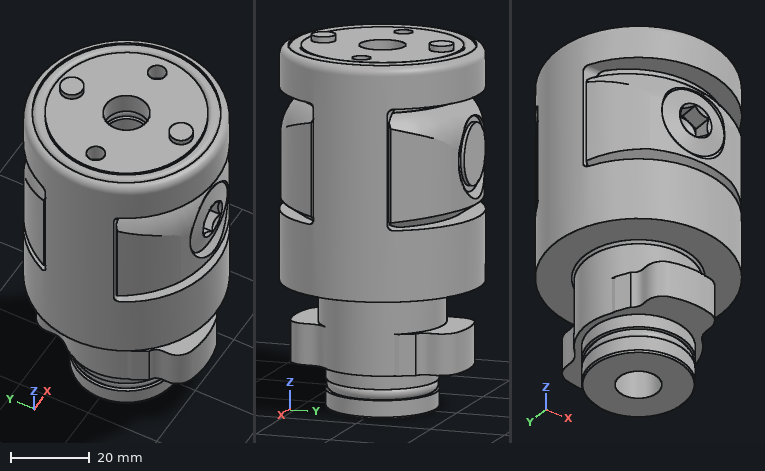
import cadquery as cq
import math

body_radius = 26.3
body_bottom = 33.2
face_height = 94.4
rim_radius = 2.3

top_seal_outer = body_radius - rim_radius
top_seal_inner = 20.7
top_seal_crest = 94.8
top_seal_floor = 93.2

neck_radius = 16.4
neck_bottom = 11.7
neck_collar = 0.6
neck_collar_height = 0.9
spigot_radius = 14.5
spigot_chamfer = 0.3
spigot_chamfer_height = 0.6
spigot_seal_bottom = 4.9
spigot_seal_top = 7.8
spigot_seal_depth = 1.0
spigot_seal_gap = 0.2

bore_radius = 5.95
bore_seal_top = 88.5
bore_seal_height = 2.9
bore_seal_depth = 1.15
bore_seal_gap = 0.1

pitch_radius = 15.9
pin_radius = 3.1
pin_top = 96.0
blind_radius = 2.4
blind_depth = 4.8
drill_point_angle = 118
drill_half_angle = math.radians(drill_point_angle / 2)

window_y = 10.0
window_bottom = 51.8
window_top = 83.5
window_corner = 1.5

jaw_axis_offset = 4.5
jaw_crest_y = 25.7
jaw_trim_radius = 26.2
jaw_corner = 2.1
jaw_relief_y = 10.75
jaw_bottom_edge = 55.1
jaw_bottom_y = 20.7
jaw_shoulder = 71.8
jaw_neck_bottom = 81.8
jaw_neck_y = 20.3
jaw_lip_y = 20.7

screw_z = 67.85
seat_y = 24.0
seat_radius = 9.7
seat_taper = 45
head_radius = 9.4
socket_mouth_radius = 5.0
screw_face_y = 25.1
hex_flats = 8.35
hex_depth = 5.8
screw_end_radius = 8.2
screw_end_y = 25.0

lug_top = 22.6
lug_radius = 23.5
lug_half_width = 10.1
lug_nose_y = 17.8
lug_flank_y = 15.6
lug_heel_flank_y = 16.0
lug_heel = [(-11.8, -13.2), (-13.9, -9.4), (-14.2, -8.1)]


def make_column():
    """Body, neck and spigot with both outer seal rings, as one turned solid."""
    top_seal_middle = (top_seal_outer + top_seal_inner) / 2
    spigot_seal_middle = (spigot_seal_bottom + spigot_seal_top) / 2
    spigot_seal_floor = spigot_radius - spigot_seal_depth
    rim_mid = rim_radius * math.cos(math.radians(45))
    profile = (
        cq.Workplane("XZ")
        .moveTo(bore_radius, 0)
        .lineTo(spigot_radius - spigot_chamfer, 0)
        .lineTo(spigot_radius, spigot_chamfer_height)
        .lineTo(spigot_radius, spigot_seal_bottom)
        .lineTo(spigot_seal_floor, spigot_seal_bottom)
        .threePointArc(
            (spigot_radius - spigot_seal_gap, spigot_seal_middle),
            (spigot_seal_floor, spigot_seal_top),
        )
        .lineTo(spigot_radius, spigot_seal_top)
        .lineTo(spigot_radius, neck_bottom)
        .lineTo(neck_radius, neck_bottom)
        .lineTo(neck_radius, body_bottom - neck_collar_height)
        .lineTo(neck_radius + neck_collar, body_bottom)
        .lineTo(body_radius, body_bottom)
        .lineTo(body_radius, face_height - rim_radius)
        .threePointArc(
            (top_seal_outer + rim_mid, face_height - rim_radius + rim_mid),
            (top_seal_outer, face_height),
        )
        .lineTo(top_seal_outer, top_seal_floor)
        .threePointArc((top_seal_middle, top_seal_crest), (top_seal_inner, top_seal_floor))
        .lineTo(top_seal_inner, face_height)
        .lineTo(bore_radius, face_height)
        .lineTo(bore_radius, bore_seal_top)
        .lineTo(bore_radius + bore_seal_depth, bore_seal_top)
        .threePointArc(
            (bore_radius + bore_seal_gap, bore_seal_top - bore_seal_height / 2),
            (bore_radius + bore_seal_depth, bore_seal_top - bore_seal_height),
        )
        .lineTo(bore_radius, bore_seal_top - bore_seal_height)
        .close()
    )
    return profile.revolve(360, (0, 0, 0), (0, 1, 0))


def make_window(corner_radius):
    """Block through the -Y side of the body with rounded corners along X."""
    depth = body_radius
    return (
        cq.Workplane("XY")
        .box(2 * body_radius, depth, window_top - window_bottom, centered=(True, False, False))
        .translate((0, -window_y - depth, window_bottom))
        .edges("|X and >Y")
        .fillet(corner_radius)
    )


def make_jaw():
    """Jaw of the -Y window: an offset turned shape trimmed to the body outline."""
    crest_radius = jaw_crest_y + jaw_axis_offset
    neck_turn_radius = jaw_neck_y + jaw_axis_offset
    lip_radius = jaw_lip_y + jaw_axis_offset
    shoulder_rise = jaw_neck_bottom - jaw_shoulder
    shoulder_run = crest_radius - lip_radius
    shoulder_radius = (shoulder_rise**2 + shoulder_run**2) / (2 * shoulder_run)
    half_angle = math.asin(shoulder_rise / shoulder_radius) / 2
    shoulder_mid = (
        crest_radius - shoulder_radius * (1 - math.cos(half_angle)),
        jaw_shoulder + shoulder_radius * math.sin(half_angle),
    )
    turned = (
        cq.Workplane("XZ")
        .moveTo(0, window_bottom)
        .lineTo(jaw_bottom_y + jaw_axis_offset, window_bottom)
        .lineTo(crest_radius, jaw_bottom_edge)
        .lineTo(crest_radius, jaw_shoulder)
        .threePointArc(shoulder_mid, (lip_radius, jaw_neck_bottom))
        .lineTo(neck_turn_radius, jaw_neck_bottom)
        .lineTo(neck_turn_radius, window_top)
        .lineTo(0, window_top)
        .close()
        .revolve(360, (0, 0, 0), (0, 1, 0))
        .translate((0, jaw_axis_offset, 0))
    )
    edge_x = math.sqrt(jaw_trim_radius**2 - jaw_relief_y**2)
    root_x = edge_x - (jaw_relief_y - window_y)
    trim = (
        cq.Workplane("XY")
        .workplane(offset=window_bottom)
        .moveTo(-root_x, -window_y)
        .lineTo(-edge_x, -jaw_relief_y)
        .threePointArc((0, -jaw_trim_radius), (edge_x, -jaw_relief_y))
        .lineTo(root_x, -window_y)
        .close()
        .extrude(window_top - window_bottom)
    )
    return turned.intersect(trim).intersect(make_window(jaw_corner)).cut(make_seat())


def front_plane(y):
    """Workplane facing -Y on the screw axis at the distance y from the centre."""
    return cq.Workplane("XZ", origin=(0, -y, screw_z))


def make_seat():
    """Countersink around the screw axis."""
    depth = body_radius - seat_y
    return front_plane(seat_y).circle(seat_radius).extrude(depth, taper=-seat_taper)


def make_screw_head():
    """Conical screw head, still without its socket, standing on the countersink floor."""
    head_height = screw_face_y - seat_y
    return (
        front_plane(seat_y)
        .circle(head_radius)
        .workplane(offset=head_height)
        .circle(socket_mouth_radius)
        .loft()
    )


def make_socket():
    """Hexagon socket, its mouth chamfer and the drill point at its bottom."""
    corner_circle = hex_flats / math.cos(math.radians(30))
    mouth_depth = socket_mouth_radius - hex_flats / 2
    floor_y = screw_face_y - hex_depth
    tip_depth = hex_flats / 2 / math.tan(drill_half_angle)
    hexagon = (
        front_plane(floor_y)
        .transformed(rotate=(0, 0, 90))
        .polygon(6, corner_circle)
        .extrude(hex_depth)
    )
    mouth = cq.Solid.makeCone(
        socket_mouth_radius, hex_flats / 2, mouth_depth,
        cq.Vector(0, -screw_face_y, screw_z), cq.Vector(0, 1, 0),
    )
    tip = cq.Solid.makeCone(
        hex_flats / 2, 0, tip_depth, cq.Vector(0, -floor_y, screw_z), cq.Vector(0, 1, 0)
    )
    return hexagon.union(cq.Workplane(mouth)).union(cq.Workplane(tip))


def make_lug():
    """Bayonet lug on the -Y side, blended into the neck on its +X side."""
    nose = (lug_radius**2 - lug_half_width**2 - lug_nose_y**2) / (2 * (lug_radius - lug_half_width))
    nose_x = lug_half_width - nose
    nose_scale = lug_radius / (lug_radius - nose)
    tip_x = nose_x * nose_scale
    tip_y = lug_nose_y * nose_scale

    root = (lug_half_width**2 + lug_flank_y**2 - neck_radius**2) / (2 * (neck_radius - lug_half_width))
    root_scale = neck_radius / (neck_radius + root)
    root_x = (lug_half_width + root) * root_scale
    root_y = lug_flank_y * root_scale

    return (
        cq.Workplane("XY")
        .workplane(offset=neck_bottom)
        .moveTo(0, 0)
        .lineTo(root_x, -root_y)
        .radiusArc((lug_half_width, -lug_flank_y), -root)
        .lineTo(lug_half_width, -lug_nose_y)
        .radiusArc((tip_x, -tip_y), nose)
        .threePointArc((0, -lug_radius), (-tip_x, -tip_y))
        .radiusArc((-lug_half_width, -lug_nose_y), nose)
        .lineTo(-lug_half_width, -lug_heel_flank_y)
        .tangentArcPoint(lug_heel[0], relative=False)
        .polyline(lug_heel[1:], includeCurrent=True)
        .close()
        .extrude(lug_top - neck_bottom)
        .cut(cq.Workplane("XY").circle(spigot_radius).extrude(lug_top))
    )


def turned_about(shape):
    """The same shape turned half way round the column axis."""
    return shape.rotate((0, 0, 0), (0, 0, 1), 180)


result = make_column()

window = make_window(window_corner)
jaw = make_jaw()
result = result.cut(window).cut(turned_about(window))
result = result.union(jaw).union(turned_about(jaw))

result = result.union(make_screw_head()).cut(make_socket())
screw_end = front_plane(seat_y).circle(screw_end_radius).extrude(screw_end_y - seat_y)
result = result.union(turned_about(screw_end))

lug = make_lug()
result = result.union(lug).union(turned_about(lug))

blind_tip = blind_radius / math.tan(drill_half_angle)
for side in (-1, 1):
    pin = (
        cq.Workplane("XY")
        .workplane(offset=face_height)
        .center(0, side * pitch_radius)
        .circle(pin_radius)
        .extrude(pin_top - face_height)
    )
    mouth_centre = cq.Vector(side * pitch_radius, 0, face_height)
    tip_centre = cq.Vector(side * pitch_radius, 0, face_height - blind_depth)
    down = cq.Vector(0, 0, -1)
    drill = cq.Solid.makeCylinder(blind_radius, blind_depth, mouth_centre, down)
    point = cq.Solid.makeCone(blind_radius, 0, blind_tip, tip_centre, down)
    result = result.union(pin).cut(cq.Workplane(drill)).cut(cq.Workplane(point))